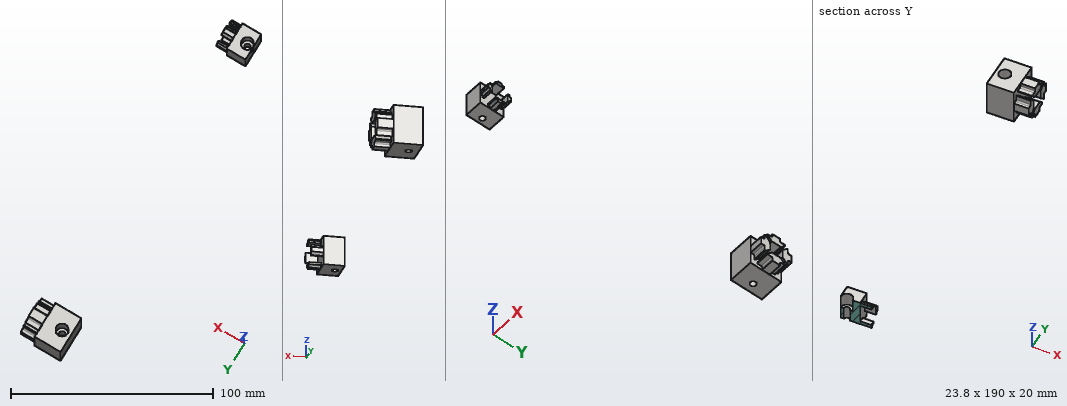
import cadquery as cq

OVERALL_X = 23.8
OVERALL_Y = 190.0
BIG_START_X = 0.8

COUNTERBORE_DIAMETER = 6.5
COUNTERBORE_HEIGHT_SHARE = 0.5
KEY_RECESS = 0.1
KEYS_PER_BLOCK = 4

BIG_SIDE = 20.0
BIG_BLOCK_LENGTH = 15.0
BIG_KEY_LENGTH = OVERALL_X - BIG_START_X - BIG_BLOCK_LENGTH
BIG_HOLE_DIAMETER = 3.5
BIG_HOLE_X = 5.1
BIG_KEY = {
    "neck_half_width": 2.5,
    "neck_fillet": 0.8,
    "shoulder_depth": 2.5,
    "head_half_width": 5.7,
    "head_thickness": 0.5,
    "taper_depth": 2.8,
}

SMALL_SIDE = 15.0
SMALL_BLOCK_LENGTH = 10.8
SMALL_KEY_LENGTH = 6.0
SMALL_HOLE_DIAMETER = 3.2
SMALL_HOLE_X = 3.5
SMALL_KEY = {
    "neck_half_width": 1.24,
    "neck_fillet": 0.5,
    "shoulder_depth": 1.24,
    "head_half_width": 2.7,
    "head_thickness": 1.1,
    "taper_depth": 0,
}


def screw_block(side, length, hole_diameter, hole_x):
    """Square block centred on the X axis, with a counterbored screw hole along Z."""
    return (
        cq.Workplane("XY")
        .box(length, side, side, centered=(False, True, True))
        .faces(">Z")
        .workplane(origin=(hole_x, 0, 0))
        .cboreHole(hole_diameter, COUNTERBORE_DIAMETER, side * COUNTERBORE_HEIGHT_SHARE)
    )


def slot_key(side, start_x, length, key):
    """T-shaped slot key along X, with its narrow neck towards +Z and its wide head inwards."""
    neck = key["neck_half_width"]
    fillet = key["neck_fillet"]
    head = key["head_half_width"]
    taper = key["taper_depth"]
    outer_face = side / 2 - KEY_RECESS
    shoulder = side / 2 - key["shoulder_depth"]
    taper_start = shoulder - key["head_thickness"]

    half_outline = (
        cq.Workplane("YZ", origin=(start_x, 0, 0))
        .moveTo(0, outer_face)
        .lineTo(neck, outer_face)
        .lineTo(neck, shoulder + fillet)
        .tangentArcPoint((neck + fillet, shoulder), relative=False)
        .lineTo(head, shoulder)
        .lineTo(head, taper_start)
    )
    if taper > 0:
        half_outline = half_outline.lineTo(head - taper, taper_start - taper)
    return half_outline.lineTo(0, taper_start - taper).mirrorY().extrude(length)


def connector(side, block_length, key_length, hole_diameter, hole_x, key):
    """Screw block with one slot key at the middle of each edge of its +X face."""
    body = screw_block(side, block_length, hole_diameter, hole_x)
    top_key = slot_key(side, block_length, key_length, key)
    for index in range(KEYS_PER_BLOCK):
        angle = index * 360 / KEYS_PER_BLOCK
        body = body.union(top_key.rotate((0, 0, 0), (1, 0, 0), angle))
    return body


small_connector = connector(
    SMALL_SIDE, SMALL_BLOCK_LENGTH, SMALL_KEY_LENGTH, SMALL_HOLE_DIAMETER, SMALL_HOLE_X, SMALL_KEY
).translate((0, SMALL_SIDE / 2, SMALL_SIDE / 2))

big_connector = connector(
    BIG_SIDE, BIG_BLOCK_LENGTH, BIG_KEY_LENGTH, BIG_HOLE_DIAMETER, BIG_HOLE_X, BIG_KEY
).translate((BIG_START_X, OVERALL_Y - BIG_SIDE / 2, BIG_SIDE / 2))

result = cq.Compound.makeCompound([small_connector.solids().val(), big_connector.solids().val()])